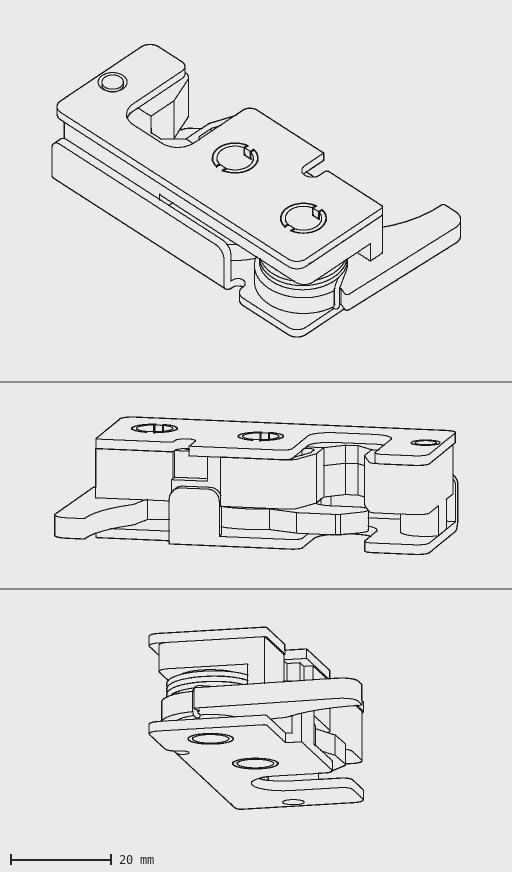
import cadquery as cq
import math

LENGTH = 68.3
WIDTH = 27.85
HEIGHT = 20.0
PLATE = 2.0
CORNER_R = 2.5
SMALL_CORNER_R = 0.6
REAR_STEP_X = 52.5
REAR_STEP_Y = 24.6
TOP_PLATE_Z = HEIGHT - PLATE
SELECT_REACH = 0.1

ROTOR_AXIS = (36.9, 14.45)
LEVER_AXIS = (59.4, 10.95)
PIN_AXIS = (3.4, 13.8)
MOUTH_X = 19.4
BUSHING_AXES = (ROTOR_AXIS, LEVER_AXIS)

BUSHING_BORE_D = 7.2
BUSHING_NECK_D = 8.9
BUSHING_BODY_D = 10.8
PLATE_HOLE_D = 9.1
BODY_HOLE_D = 10.9
KEY_WIDTH = 1.5
KEY_REACH = 3.5
KEY_OVERLAP = 0.1
NOTCH_WIDTH = 2.0

TOP_MOUTH_HALF = 8.45
TOP_MOUTH_FLOOR_Y = 7.45
TOP_MOUTH_R = 4.5
MOUTH_LIP_R = 2.0
NOTCH_LEFT_X = 48.4
NOTCH_FLOOR_Y = 20.4
COUNTERSINK_D = 5.75
PIN_D = 4.3

FLANGE_LENGTH = 47.9
FLANGE_TOP_Z = 11.45
FLANGE_CORNER_R = 2.3
BEND_R = 2.2
RELIEF_WIDTH = 2.9
RELIEF_DEPTH = 3.95
RELIEF_CORNER_R = 2.4
BOTTOM_MOUTH_R = 6.35
BOTTOM_MOUTH_CENTRE_Y = 15.75
TAB_LEFT_X = 42.3
PAD_TOP_Z = 3.35
PAD_R = 7.3
PAD_BLEND_R = 0.65

HOUSING_FRONT_Y = 2.05
HOUSING_REAR_Y = 27.6
HOUSING_STEP_Y = 24.3
HOUSING_BOTTOM_Z = 8.0
TAB_CLEARANCE = 0.2
POST_R = 5.0
CHAMBER_LEFT_X = 27.9
CHAMBER_REAR_Y = 20.8
CHAMBER_ROOF_Z = 12.6
BOSS_D = 12.7
BOSS_BOTTOM_Z = 7.65
THROAT_HALF = 4.9
THROAT_TOP_Y = 19.9
MOUTH_TOP_HALF = 7.8
HOUSING_LIP_R = 1.8
LEDGE_FRONT_Y = 23.0
LEDGE_LEFT_X = 45.2
BLIND_HOLE_D = 4.1
BLIND_HOLE_AXIS = (49.3, 19.5)
BLIND_HOLE_DEPTH = 2.2
POCKET_WIDTH = 2.5
POCKET_DEPTH = 1.9
POCKET_LEFT_X = 25.7
POCKET_BOTTOM_Y = 14.9
POCKET_BEND_Y = 19.1
POCKET_TOP_Y = 24.8
POCKET_LEAN = 2.2
POCKET_TOP_RIGHT_X = 32.1

BUMPER_TOP_Y = 13.35
BUMPER_BOTTOM_Y = 5.1
BUMPER_HALF = TOP_MOUTH_HALF + 0.04
BUMPER_HEIGHT = 3.65
VEE_FLOOR_HALF = 1.3
VEE_FLOOR_Y = 9.85

MOVER_BOTTOM_Z = PAD_TOP_Z
MOVER_TOP_Z = 7.5
ROTOR_R = 11.95
HOOK_UNDERSIDE_Y = 19.55
HOOK_ROOT_X = 33.55
JAW_TIP_X = 24.8
JAW_BOTTOM_Y = 2.5
JAW_TOP_Y = 9.05
JAW_LOWER_R = 2.4
JAW_UPPER_R = 3.05
LEVER_HUB_R = 9.8
HANDLE_END_X = 72.9
HANDLE_END_Y = 43.75
HANDLE_CORNER_R = 3.35
HEEL_Y = 11.15

WIRE_D = 1.0
COIL_OUTER_D = 17.6
COIL_R = (COIL_OUTER_D - WIRE_D) / 2
COIL_PITCH = 1.1
COIL_TOP_Z = 11.6
UPPER_LEG_END_X = 45.8
FULL_TURNS = 3
HOOK_X = 69.35
HOOK_Y = 10.3
HOOK_Z = 2.8
HOOK_BEND_R = 0.9
HOOK_LENGTH = 1.6
WIRE_CLEARANCE_R = 0.65


def block(x0, x1, y0, y1, z0, z1):
    """Box between two opposite corners."""
    return cq.Workplane("XY").box(x1 - x0, y1 - y0, z1 - z0, centered=False).translate((x0, y0, z0))


def cylinder(axis, diameter, z0, z1):
    """Vertical cylinder on an (x, y) axis."""
    return cq.Workplane("XY", origin=(axis[0], axis[1], z0)).circle(diameter / 2).extrude(z1 - z0)


def round_upright_edge(solid, x, y, radius):
    """Round the vertical edges of a solid that stand at (x, y)."""
    spot = cq.selectors.BoxSelector(
        (x - SELECT_REACH, y - SELECT_REACH, 0), (x + SELECT_REACH, y + SELECT_REACH, HEIGHT))
    return solid.edges("|Z").edges(spot).fillet(radius)


def plate_blank(z0):
    """Sheet with the rear edge stepped back at its right end."""
    sheet = block(0, LENGTH, 0, WIDTH, z0, z0 + PLATE)
    sheet = round_upright_edge(sheet, 0, WIDTH, CORNER_R)
    sheet = round_upright_edge(sheet, LENGTH, 0, CORNER_R)
    sheet = sheet.cut(block(REAR_STEP_X, LENGTH, REAR_STEP_Y, WIDTH, z0, z0 + PLATE))
    return round_upright_edge(sheet, LENGTH, REAR_STEP_Y, SMALL_CORNER_R)


def round_mouth_lips(solid, half_width, rear_y, radius):
    """Round the two vertical edges where the mouth meets the rear edge."""
    for x in (MOUTH_X - half_width, MOUTH_X + half_width):
        solid = round_upright_edge(solid, x, rear_y, radius)
    return solid


def make_top_plate():
    z0, z1 = TOP_PLATE_Z, HEIGHT
    plate = plate_blank(z0)
    plate = round_upright_edge(plate, 0, 0, CORNER_R)

    mouth = block(MOUTH_X - TOP_MOUTH_HALF, MOUTH_X + TOP_MOUTH_HALF, TOP_MOUTH_FLOOR_Y, WIDTH, z0, z1)
    plate = plate.cut(mouth.edges("|Z and <Y").fillet(TOP_MOUTH_R))
    plate = round_mouth_lips(plate, TOP_MOUTH_HALF, WIDTH, MOUTH_LIP_R)

    slot_width = REAR_STEP_X - NOTCH_LEFT_X
    slot_r = slot_width / 2
    slot = block(NOTCH_LEFT_X, REAR_STEP_X, NOTCH_FLOOR_Y + slot_r, WIDTH, z0, z1)
    slot_end = cylinder((NOTCH_LEFT_X + slot_r, NOTCH_FLOOR_Y + slot_r), slot_width, z0, z1)
    plate = plate.cut(slot).cut(slot_end)
    plate = round_upright_edge(plate, REAR_STEP_X, REAR_STEP_Y, SMALL_CORNER_R)

    for axis in BUSHING_AXES:
        plate = plate.cut(cylinder(axis, PLATE_HOLE_D, z0, z1))
        plate = plate.union(bushing_keys(axis, KEY_WIDTH))

    plate = plate.cut(cylinder(PIN_AXIS, PIN_D, z0, z1))
    pin_x, pin_y = PIN_AXIS
    pin_rim = cq.selectors.BoxSelector(
        (pin_x - SELECT_REACH, pin_y - SELECT_REACH, z1 - SELECT_REACH),
        (pin_x + SELECT_REACH, pin_y + SELECT_REACH, z1 + SELECT_REACH))
    return plate.edges("%CIRCLE").edges(pin_rim).chamfer((COUNTERSINK_D - PIN_D) / 2)


def bushing_keys(axis, width):
    """Pair of radial bars across the bushing wall, in the thickness of the top plate."""
    x, y = axis
    outer = PLATE_HOLE_D / 2 + KEY_OVERLAP
    front = block(x - width / 2, x + width / 2, y - outer, y - KEY_REACH, TOP_PLATE_Z, HEIGHT)
    rear = block(x - width / 2, x + width / 2, y + KEY_REACH, y + outer, TOP_PLATE_Z, HEIGHT)
    return front.union(rear)


def pad_outline(radius):
    """Outline wrapped tightly around two equal circles on the bushing axes."""
    (x0, y0), (x1, y1) = BUSHING_AXES
    span = math.hypot(x1 - x0, y1 - y0)
    along = ((x1 - x0) / span * radius, (y1 - y0) / span * radius)
    across = (-along[1], along[0])
    return (cq.Workplane("XY")
            .moveTo(x0 - across[0], y0 - across[1])
            .lineTo(x1 - across[0], y1 - across[1])
            .threePointArc((x1 + along[0], y1 + along[1]), (x1 + across[0], y1 + across[1]))
            .lineTo(x0 + across[0], y0 + across[1])
            .threePointArc((x0 - along[0], y0 - along[1]), (x0 - across[0], y0 - across[1]))
            .close())


def make_bottom_plate():
    plate = plate_blank(0)

    plate = plate.union(pad_outline(PAD_R).extrude(PAD_TOP_Z))
    plate = plate.faces(">Z").edges().fillet(PAD_BLEND_R)
    inset = 1.45
    pad_foot = cq.selectors.BoxSelector(
        (ROTOR_AXIS[0] - PAD_R - inset, inset, PLATE - SELECT_REACH),
        (LENGTH - inset, REAR_STEP_Y - inset, PLATE + SELECT_REACH))
    plate = plate.edges(pad_foot).fillet(PAD_BLEND_R)

    flange = block(0, FLANGE_LENGTH, 0, PLATE, 0, FLANGE_TOP_Z)
    flange = flange.edges("|Y and >Z").fillet(FLANGE_CORNER_R)
    relief_r = RELIEF_WIDTH / 2
    relief_right = FLANGE_LENGTH + RELIEF_WIDTH
    relief_end_y = RELIEF_DEPTH - relief_r
    plate = plate.cut(block(FLANGE_LENGTH, relief_right, 0, relief_end_y, 0, PLATE))
    plate = plate.cut(cylinder((FLANGE_LENGTH + relief_r, relief_end_y), RELIEF_WIDTH, 0, PLATE))
    plate = round_upright_edge(plate, relief_right, 0, RELIEF_CORNER_R)
    plate = plate.union(flange)
    bend_edge = cq.selectors.BoxSelector(
        (0, -SELECT_REACH, -SELECT_REACH), (FLANGE_LENGTH, SELECT_REACH, SELECT_REACH))
    plate = plate.edges("|X").edges(bend_edge).fillet(BEND_R)

    tab = block(TAB_LEFT_X, REAR_STEP_X, WIDTH - PLATE, WIDTH, 0, FLANGE_TOP_Z)
    plate = plate.union(tab.edges("|Y and >Z").fillet(FLANGE_CORNER_R))

    mouth = block(MOUTH_X - BOTTOM_MOUTH_R, MOUTH_X + BOTTOM_MOUTH_R, BOTTOM_MOUTH_CENTRE_Y, WIDTH, 0, PLATE)
    plate = plate.cut(mouth).cut(cylinder((MOUTH_X, BOTTOM_MOUTH_CENTRE_Y), 2 * BOTTOM_MOUTH_R, 0, PLATE))
    plate = round_mouth_lips(plate, BOTTOM_MOUTH_R, WIDTH, MOUTH_LIP_R)

    for axis in BUSHING_AXES:
        plate = plate.cut(cylinder(axis, PLATE_HOLE_D, 0, PAD_TOP_Z))
    return plate.cut(cylinder(PIN_AXIS, PIN_D, 0, PLATE))


def throat_prism():
    """Striker opening: flared mouth, parallel throat and truncated vee."""
    half_outline = [(VEE_FLOOR_HALF, VEE_FLOOR_Y), (THROAT_HALF, BUMPER_TOP_Y),
                    (THROAT_HALF, THROAT_TOP_Y), (MOUTH_TOP_HALF, HOUSING_REAR_Y)]
    right = [(MOUTH_X + dx, y) for dx, y in half_outline]
    left = [(MOUTH_X - dx, y) for dx, y in reversed(half_outline)]
    return cq.Workplane("XY").polyline(right + left).close().extrude(HEIGHT)


def bumper_block():
    return block(MOUTH_X - BUMPER_HALF, MOUTH_X + BUMPER_HALF, BUMPER_BOTTOM_Y, BUMPER_TOP_Y,
                 TOP_PLATE_Z - BUMPER_HEIGHT, TOP_PLATE_Z)


def narrow_pocket():
    """Bent pocket that follows the right side of the mouth."""
    end_r = POCKET_WIDTH / 2
    right_x = POCKET_LEFT_X + POCKET_WIDTH
    return (cq.Workplane("XY", origin=(0, 0, TOP_PLATE_Z - POCKET_DEPTH))
            .moveTo(POCKET_LEFT_X, POCKET_BOTTOM_Y + end_r)
            .lineTo(POCKET_LEFT_X, POCKET_BEND_Y)
            .lineTo(POCKET_LEFT_X + POCKET_LEAN, POCKET_TOP_Y)
            .lineTo(POCKET_TOP_RIGHT_X, POCKET_TOP_Y)
            .lineTo(right_x, POCKET_BOTTOM_Y + end_r)
            .threePointArc((POCKET_LEFT_X + end_r, POCKET_BOTTOM_Y), (POCKET_LEFT_X, POCKET_BOTTOM_Y + end_r))
            .close().extrude(POCKET_DEPTH))


def make_housing():
    z0, z1 = HOUSING_BOTTOM_Z, TOP_PLATE_Z
    housing = block(0, LENGTH, HOUSING_FRONT_Y, HOUSING_REAR_Y, z0, z1)
    for x, y in ((0, HOUSING_FRONT_Y), (0, HOUSING_REAR_Y), (LENGTH, HOUSING_FRONT_Y)):
        housing = round_upright_edge(housing, x, y, CORNER_R)
    housing = housing.cut(block(REAR_STEP_X, LENGTH, HOUSING_STEP_Y, HOUSING_REAR_Y, z0, z1))

    tab_front_y = WIDTH - PLATE - TAB_CLEARANCE
    housing = housing.cut(
        block(TAB_LEFT_X - TAB_CLEARANCE, REAR_STEP_X, tab_front_y, HOUSING_REAR_Y, z0, z1))
    housing = housing.cut(block(LEDGE_LEFT_X, REAR_STEP_X, LEDGE_FRONT_Y, tab_front_y, CHAMBER_ROOF_Z, z1))

    housing = housing.cut(
        block(CHAMBER_LEFT_X, LENGTH, HOUSING_FRONT_Y, CHAMBER_REAR_Y, z0, CHAMBER_ROOF_Z))
    for axis in BUSHING_AXES:
        housing = housing.union(cylinder(axis, BOSS_D, BOSS_BOTTOM_Z, z1))
        housing = housing.cut(cylinder(axis, BODY_HOLE_D, BOSS_BOTTOM_Z, z1))

    post = cylinder(PIN_AXIS, 2 * POST_R, PLATE, z0)
    housing = housing.union(post.intersect(block(0, LENGTH, 0, WIDTH, 0, HEIGHT)))
    housing = housing.cut(cylinder(PIN_AXIS, PIN_D, PLATE, z1))

    housing = housing.cut(throat_prism())
    housing = round_mouth_lips(housing, MOUTH_TOP_HALF, HOUSING_REAR_Y, HOUSING_LIP_R)
    housing = housing.cut(bumper_block()).cut(narrow_pocket())
    return housing.cut(cylinder(BLIND_HOLE_AXIS, BLIND_HOLE_D, z1 - BLIND_HOLE_DEPTH, z1))


def make_bumper():
    return bumper_block().cut(throat_prism())


def make_rotor():
    """Disc on the rotor bushing with a hook that closes the mouth and a lower jaw."""
    thickness = MOVER_TOP_Z - MOVER_BOTTOM_Z
    hook = (cq.Workplane("XY", origin=(0, 0, MOVER_BOTTOM_Z))
            .moveTo(16.2, HOOK_UNDERSIDE_Y)
            .lineTo(21.4, HOOK_UNDERSIDE_Y)
            .threePointArc((23.85, 18.75), (25.4, 17.0))
            .lineTo(HOOK_ROOT_X, 16.05)
            .lineTo(HOOK_ROOT_X, 25.2)
            .lineTo(27.3, 27.7)
            .lineTo(26.5, 28.15)
            .lineTo(18.5, 28.3)
            .lineTo(17.6, 28.0)
            .lineTo(14.1, 24.7)
            .threePointArc((13.5, 21.15), (16.2, HOOK_UNDERSIDE_Y))
            .close().extrude(thickness))
    jaw = block(JAW_TIP_X, ROTOR_AXIS[0], JAW_BOTTOM_Y, JAW_TOP_Y, MOVER_BOTTOM_Z, MOVER_TOP_Z)
    jaw = round_upright_edge(jaw, JAW_TIP_X, JAW_BOTTOM_Y, JAW_LOWER_R)
    jaw = round_upright_edge(jaw, JAW_TIP_X, JAW_TOP_Y, JAW_UPPER_R)
    rotor = hook.union(jaw).union(cylinder(ROTOR_AXIS, 2 * ROTOR_R, MOVER_BOTTOM_Z, MOVER_TOP_Z))
    return rotor.cut(cylinder(ROTOR_AXIS, BODY_HOLE_D, MOVER_BOTTOM_Z, MOVER_TOP_Z))


def make_lever():
    """Hub on the lever bushing with a curved release handle."""
    thickness = MOVER_TOP_Z - MOVER_BOTTOM_Z
    handle = (cq.Workplane("XY", origin=(0, 0, MOVER_BOTTOM_Z))
              .moveTo(58.35, 19.7)
              .lineTo(59.65, 24.95)
              .threePointArc((59.8, 26.1), (60.4, 27.3))
              .threePointArc((64.6, 34.7), (66.15, 43.25))
              .tangentArcPoint((66.65, HANDLE_END_Y), relative=False)
              .lineTo(HANDLE_END_X - HANDLE_CORNER_R, HANDLE_END_Y)
              .tangentArcPoint((HANDLE_END_X, HANDLE_END_Y - HANDLE_CORNER_R), relative=False)
              .lineTo(71.9, 11.1)
              .tangentArcPoint((71.2, 10.6), relative=False)
              .lineTo(69.65, HEEL_Y)
              .lineTo(67.1, HEEL_Y)
              .close().extrude(thickness))
    lever = handle.union(cylinder(LEVER_AXIS, 2 * LEVER_HUB_R, MOVER_BOTTOM_Z, MOVER_TOP_Z))
    lever = lever.cut(cylinder(LEVER_AXIS, BODY_HOLE_D, MOVER_BOTTOM_Z, MOVER_TOP_Z))
    return lever.cut(cylinder((HOOK_X, HOOK_Y), 2 * WIRE_CLEARANCE_R, MOVER_BOTTOM_Z, MOVER_TOP_Z))


def make_bushing(axis):
    """Tube with necks in both plates and notches for the keys of the top plate."""
    bushing = cylinder(axis, BUSHING_NECK_D, 0, HEIGHT)
    bushing = bushing.union(cylinder(axis, BUSHING_BODY_D, PAD_TOP_Z, TOP_PLATE_Z))
    bushing = bushing.cut(cylinder(axis, BUSHING_BORE_D, 0, HEIGHT))
    return bushing.cut(bushing_keys(axis, NOTCH_WIDTH))


def make_pin():
    return cylinder(PIN_AXIS, PIN_D, 0, HEIGHT)


def make_spring():
    """Torsion spring: straight upper leg, coil, and a lower leg hooked under the lever hub."""
    axis_x, axis_y = LEVER_AXIS

    hook_distance = math.hypot(HOOK_X - axis_x, HOOK_Y - axis_y)
    hook_angle = math.atan2(HOOK_Y - axis_y, HOOK_X - axis_x)
    start_angle = hook_angle + math.acos(COIL_R / hook_distance)
    turns = FULL_TURNS + (math.pi / 2 - start_angle) / (2 * math.pi)
    coil_height = turns * COIL_PITCH
    coil_bottom_z = COIL_TOP_Z - coil_height
    coil_start = cq.Vector(
        axis_x + COIL_R * math.cos(start_angle), axis_y + COIL_R * math.sin(start_angle), coil_bottom_z)
    helix = cq.Wire.makeHelix(COIL_PITCH, coil_height, COIL_R)
    helix = helix.rotate(cq.Vector(0, 0, 0), cq.Vector(0, 0, 1), math.degrees(start_angle))
    helix = helix.translate(cq.Vector(axis_x, axis_y, coil_bottom_z))

    down = cq.Vector(0, 0, -1)
    outward = cq.Vector(math.sin(start_angle), -math.cos(start_angle), 0)
    inward = cq.Vector(-math.cos(hook_angle), -math.sin(hook_angle), 0)
    top_corner = cq.Vector(HOOK_X, HOOK_Y, coil_bottom_z)
    low_corner = cq.Vector(HOOK_X, HOOK_Y, HOOK_Z)

    def bend(corner, entering, leaving):
        """Quarter-circle arc that rounds a square corner of the wire."""
        first = corner - entering * HOOK_BEND_R
        last = corner + leaving * HOOK_BEND_R
        middle = corner + (leaving - entering) * (HOOK_BEND_R * (1 - math.sqrt(0.5)))
        return cq.Edge.makeThreePointArc(first, middle, last)

    top_bend = bend(top_corner, outward, down)
    low_bend = bend(low_corner, down, inward)
    lower_edges = [
        cq.Edge.makeLine(coil_start, top_bend.startPoint()),
        top_bend,
        cq.Edge.makeLine(top_bend.endPoint(), low_bend.startPoint()),
        low_bend,
        cq.Edge.makeLine(low_bend.endPoint(), low_corner + inward * HOOK_LENGTH),
    ]
    coil_end = cq.Vector(axis_x, axis_y + COIL_R, COIL_TOP_Z)
    upper_leg = cq.Edge.makeLine(coil_end, cq.Vector(UPPER_LEG_END_X, axis_y + COIL_R, COIL_TOP_Z))

    def wire_along(path, start, direction):
        profile = cq.Workplane(cq.Plane(origin=start, normal=direction)).circle(WIRE_D / 2)
        return profile.sweep(cq.Workplane("XY").newObject([path]), isFrenet=True)

    spring = wire_along(helix, coil_start, outward)
    spring = spring.union(wire_along(cq.Wire.assembleEdges(lower_edges), coil_start, outward))
    spring = spring.union(wire_along(cq.Wire.assembleEdges([upper_leg]), coil_end, cq.Vector(-1, 0, 0)))
    return spring


top_plate = make_top_plate()
bottom_plate = make_bottom_plate()
housing = make_housing()
bumper = make_bumper()
rotor = make_rotor()
lever = make_lever()
pin = make_pin()
spring = make_spring()
bushings = [make_bushing(axis) for axis in BUSHING_AXES]

bodies = [top_plate, bottom_plate, housing, bumper, rotor, lever, pin, spring, *bushings]
result = cq.Compound.makeCompound([body.solids().val() for body in bodies])